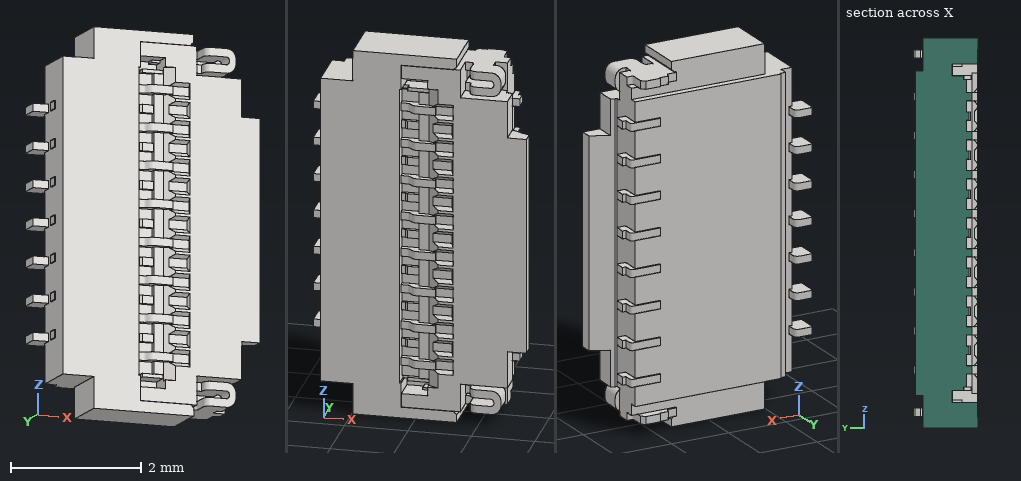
import cadquery as cq
import math


PITCH = 0.6
LEFT_COUNT = 7
RIGHT_COUNT = LEFT_COUNT + 1
CONTACT_WIDTH = 0.13

HEIGHT = 1.0
LENGTH = 6.0
LEFT_X = 0.256
BACK_X = 3.1
CORE_HALF = 2.5
SHELF_Y = 0.795
RIDGE_X = 0.45
RIDGE_Y = 0.94
RIDGE_TOP_X = 0.545
TOP_Y = 0.972

EAR_X0 = 0.765
EAR_X1 = 2.405
EAR_Y = 0.855
EAR_CHAMFER = 0.05

INSERT_X = 1.53
INSERT_HALF = 2.82
INSERT_Y = 0.012
SHOULDER_X = 3.2
SHOULDER_HALF = 2.363
WING_X = 3.5
WING_HALF = 1.765
WING_ROOT_X = 3.135
WING_ROOT_Y = 0.385
WING_TIP_Y = 0.215

SLOT_X0 = 1.505
CHANNEL_X1 = 1.785
SLOT_X1 = 1.943
CHANNEL_Y = 0.18
LEDGE_Y = 0.1
LEAD_IN_X = 2.11
LEAD_IN_HALF = 2.46
END_POCKET_HALF = 2.6
END_POCKET_Y = 0.4
END_STEP_HALF = 2.42
END_STEP_X = 1.605
END_STEP_Y = 0.115
END_STEP_DEEP_Y = 0.22
END_LEDGE_X = 1.81
END_LEDGE_Y = 0.25
END_LEDGE_HALF = 2.565

GROOVE_X1 = 2.345
GROOVE_Y = 0.06
GROOVE_FLOOR_HALF = 0.07
GROOVE_MOUTH_HALF = 0.128
GROOVE_END_RUN = 0.03

BEAM_END_X = 2.067
BEAM_BEND_X = 1.61
BEAM_LOW_ARC_RUN = 0.045
BEAM_RAMP_RUN = 0.03
BEAM_HIGH_ARC_RUN = 0.085
TIP_X0 = 1.565
TIP_X1 = 1.605
TIP_Y = 0.12
TIP_BEVEL = 0.02
CONTACT_ROOT_Y = 0.3

LEFT_TAIL_X1 = 0.315
LEFT_TAIL_Y = 0.625
LEFT_TAIL_CORNER = 0.05
LEFT_TAIL_SHOULDER = 0.08
HEEL_X = 0.237
HEEL_Y0 = 0.325
HEEL_Y1 = 0.5

RIGHT_TAIL_X0 = 2.67
RIGHT_TAIL_X1 = 3.25
RIGHT_TAIL_Y0 = 0.663
RIGHT_TAIL_STEP_Y = 0.84
RIGHT_TAIL_TOP_X = 3.19
RIGHT_TAIL_CORNER = 0.05
FOOT_LENGTH = 0.04

CLIP_POCKET_X = 2.46
CLIP_POCKET_Y = 0.47
CLIP_OUTER_Z = INSERT_HALF
CLIP_INNER_Z = 2.43
CLIP_THICKNESS = 0.135
CLIP_BEND_INNER_X = 2.99
CLIP_FRONT_RADIUS = 0.11
CLIP_SIDE_RADIUS = 0.05
CLIP_NOTCH_RADIUS = 0.03
CLIP_OPENING_RADIUS = 0.054
CLIP_BEND_RADIUS = 0.15
CLIP_SIDE_X = 2.595
CLIP_STEP_Y = 0.365
CLIP_LEG_X = 2.505
CLIP_LEG_Y = 0.16
CLIP_ROOT_X0 = 2.33
CLIP_ROOT_X1 = 2.49
CLIP_ROOT_Y = 0.89
CLIP_TOP_X0 = 2.52
CLIP_BEND_Y = 0.33
CLIP_SLIT_X = 2.91
CLIP_NOTCH_X = 2.99
CLIP_NOTCH_Y = 0.705
CLIP_TOP_CHAMFER = 0.06

OVERLAP = 0.1


def box(x0, x1, y0, y1, z0, z1):
    return cq.Workplane("XY").box(x1 - x0, y1 - y0, z1 - z0, centered=False).translate((x0, y0, z0))


def slab(outline, z0, z1):
    """Closed XY polygon raised from z0 to z1."""
    return cq.Workplane("XY").workplane(offset=z0).polyline(outline).close().extrude(z1 - z0)


def row(count):
    """Z positions of a centred row of contacts."""
    return [(i - (count - 1) / 2) * PITCH for i in range(count)]


def both_ends(shape):
    return shape.union(shape.mirror("XY"))


def housing():
    core = slab(
        [
            (LEFT_X, 0),
            (BACK_X, 0),
            (BACK_X, TOP_Y),
            (RIDGE_TOP_X, TOP_Y),
            (RIDGE_TOP_X, RIDGE_Y),
            (RIDGE_X, RIDGE_Y),
            (RIDGE_X, SHELF_Y),
            (LEFT_X, SHELF_Y),
        ],
        -CORE_HALF,
        CORE_HALF,
    )
    clip_base_half = CLIP_OUTER_Z - CLIP_THICKNESS
    base = box(EAR_X0, BACK_X, 0, EAR_Y, -clip_base_half, clip_base_half)
    neck = box(EAR_X0, CLIP_POCKET_X, 0, EAR_Y, -INSERT_HALF, INSERT_HALF)
    ears = box(EAR_X0, EAR_X1, 0, EAR_Y, -LENGTH / 2, LENGTH / 2)
    corner = (
        cq.Workplane("XZ")
        .polyline(
            [
                (EAR_X1, INSERT_HALF + EAR_CHAMFER),
                (EAR_X1, INSERT_HALF),
                (EAR_X1 - EAR_CHAMFER, INSERT_HALF),
            ]
        )
        .close()
        .extrude(-EAR_Y)
    )
    ears = ears.cut(both_ends(corner))
    return core.union(base).union(ears).union(neck)


def wing():
    outline = [
        (BACK_X - OVERLAP, 0),
        (WING_X, 0),
        (WING_X, WING_TIP_Y),
        (WING_ROOT_X, WING_ROOT_Y),
        (BACK_X - OVERLAP, WING_ROOT_Y),
    ]
    shoulder = slab(outline, -SHOULDER_HALF, SHOULDER_HALF).intersect(
        box(0, SHOULDER_X, 0, HEIGHT, -SHOULDER_HALF, SHOULDER_HALF)
    )
    return slab(outline, -WING_HALF, WING_HALF).union(shoulder)


def insert_recess():
    return box(INSERT_X, WING_X, 0, INSERT_Y, -INSERT_HALF, INSERT_HALF)


def clip_pockets():
    pocket = box(CLIP_POCKET_X, BACK_X, 0, CLIP_POCKET_Y, SHOULDER_HALF, INSERT_HALF)
    return both_ends(pocket)


def slot():
    channel = box(SLOT_X0, CHANNEL_X1, 0, CHANNEL_Y, -SHOULDER_HALF, SHOULDER_HALF)
    ledge = box(SLOT_X0, SLOT_X1, 0, LEDGE_Y, -SHOULDER_HALF, SHOULDER_HALF)
    lead_in = slab(
        [(SLOT_X1, 0), (LEAD_IN_X, 0), (LEAD_IN_X, INSERT_Y), (SLOT_X1, LEDGE_Y)],
        -LEAD_IN_HALF,
        LEAD_IN_HALF,
    )
    step = box(SLOT_X0, SLOT_X1, 0, END_STEP_Y, SHOULDER_HALF, END_STEP_HALF)
    step = step.union(box(SLOT_X0, END_STEP_X, 0, END_STEP_DEEP_Y, SHOULDER_HALF, END_STEP_HALF))
    pocket = box(INSERT_X, SLOT_X1, 0, END_POCKET_Y, END_STEP_HALF, END_POCKET_HALF)
    pocket = pocket.cut(
        box(END_LEDGE_X, SLOT_X1, END_LEDGE_Y, END_POCKET_Y, END_LEDGE_HALF, END_POCKET_HALF)
    )
    return channel.union(ledge).union(lead_in).union(both_ends(step.union(pocket)))


def groove(z, end_run):
    """Trapezoidal groove; its closed end slopes in over end_run, or is square if that is 0."""
    section = (
        cq.Workplane("YZ", origin=(SLOT_X1, 0, z))
        .polyline(
            [
                (INSERT_Y, -GROOVE_MOUTH_HALF),
                (INSERT_Y, GROOVE_MOUTH_HALF),
                (GROOVE_Y, GROOVE_FLOOR_HALF),
                (GROOVE_Y, -GROOVE_FLOOR_HALF),
            ]
        )
        .close()
        .extrude(GROOVE_X1 - SLOT_X1)
    )
    if end_run == 0:
        return section
    end_wedge = slab(
        [(GROOVE_X1, INSERT_Y), (GROOVE_X1, GROOVE_Y), (GROOVE_X1 - end_run, GROOVE_Y)],
        z - GROOVE_MOUTH_HALF,
        z + GROOVE_MOUTH_HALF,
    )
    return section.cut(end_wedge)


def beam(z):
    """Right-hand contact crossing the slot; an S-bend with a 45 degree ramp brings it forward."""
    arc_rise_per_run = math.tan(math.pi / 8)
    ramp_x0 = BEAM_BEND_X + BEAM_LOW_ARC_RUN
    ramp_x1 = ramp_x0 + BEAM_RAMP_RUN
    high_x = ramp_x1 + BEAM_HIGH_ARC_RUN
    ramp_y1 = INSERT_Y + BEAM_HIGH_ARC_RUN * arc_rise_per_run
    ramp_y0 = ramp_y1 + BEAM_RAMP_RUN
    low_y = ramp_y0 + BEAM_LOW_ARC_RUN * arc_rise_per_run
    return (
        cq.Workplane("XY")
        .workplane(offset=z - CONTACT_WIDTH / 2)
        .moveTo(SLOT_X0, low_y)
        .lineTo(BEAM_BEND_X, low_y)
        .tangentArcPoint((ramp_x0, ramp_y0), relative=False)
        .lineTo(ramp_x1, ramp_y1)
        .tangentArcPoint((high_x, INSERT_Y), relative=False)
        .lineTo(BEAM_END_X, INSERT_Y)
        .lineTo(BEAM_END_X, CONTACT_ROOT_Y)
        .lineTo(SLOT_X0, CONTACT_ROOT_Y)
        .close()
        .extrude(CONTACT_WIDTH)
    )


def left_contact(z):
    z0 = z - CONTACT_WIDTH / 2
    z1 = z + CONTACT_WIDTH / 2
    tail = box(0, LEFT_TAIL_X1, LEFT_TAIL_Y, HEIGHT, z0, z1)
    tail = tail.edges("<X and >Y").fillet(LEFT_TAIL_CORNER)
    tail = tail.edges(">X and >Y").fillet(LEFT_TAIL_SHOULDER)
    heel = box(HEEL_X, LEFT_X + OVERLAP, HEEL_Y0, HEEL_Y1, z0, z1)
    tip = slab(
        [
            (SLOT_X0, TIP_Y + TIP_BEVEL),
            (TIP_X0, TIP_Y + TIP_BEVEL),
            (TIP_X1, TIP_Y),
            (CHANNEL_X1, TIP_Y),
            (CHANNEL_X1, CONTACT_ROOT_Y),
            (SLOT_X0, CONTACT_ROOT_Y),
        ],
        z0,
        z1,
    )
    return tail.union(heel).union(tip)


def right_contact(z):
    z0 = z - CONTACT_WIDTH / 2
    z1 = z + CONTACT_WIDTH / 2
    upper = box(RIGHT_TAIL_X0, RIGHT_TAIL_TOP_X, RIGHT_TAIL_Y0, HEIGHT, z0, z1)
    upper = upper.edges(">X and >Y").fillet(RIGHT_TAIL_CORNER)
    lower = box(RIGHT_TAIL_X0, RIGHT_TAIL_X1, RIGHT_TAIL_Y0, RIGHT_TAIL_STEP_Y, z0, z1)
    foot = slab(
        [
            (RIDGE_X - FOOT_LENGTH, SHELF_Y),
            (RIDGE_X, SHELF_Y),
            (RIDGE_X, SHELF_Y + FOOT_LENGTH),
        ],
        z0,
        z1,
    )
    return upper.union(lower).union(foot).union(beam(z))


def round_corner(leg, corner, radius):
    """Round the Z edge of a clip leg that stands at the XY point corner."""
    middle_z = leg.val().Center().z
    return leg.edges(cq.selectors.NearestToPointSelector((*corner, middle_z))).fillet(radius)


def outer_clip_leg():
    front_corner = (CLIP_SIDE_X, 0)
    side_corner = (CLIP_SIDE_X, CLIP_STEP_Y)
    notch_corner = (CLIP_NOTCH_X, CLIP_NOTCH_Y)
    outline = [
        front_corner,
        (CLIP_SLIT_X, 0),
        (CLIP_SLIT_X, CLIP_POCKET_Y),
        (BACK_X, CLIP_POCKET_Y),
        (BACK_X, CLIP_NOTCH_Y),
        notch_corner,
        (CLIP_NOTCH_X, HEIGHT - CLIP_TOP_CHAMFER),
        (CLIP_NOTCH_X - CLIP_TOP_CHAMFER, HEIGHT),
        (RIGHT_TAIL_X0, HEIGHT),
        (RIGHT_TAIL_X0, TOP_Y),
        (CLIP_TOP_X0, TOP_Y),
        (CLIP_ROOT_X1, CLIP_ROOT_Y),
        (CLIP_ROOT_X0, CLIP_ROOT_Y),
        (CLIP_ROOT_X0, CLIP_STEP_Y),
        side_corner,
    ]
    leg = slab(outline, CLIP_OUTER_Z - CLIP_THICKNESS, CLIP_OUTER_Z)
    leg = round_corner(leg, front_corner, CLIP_FRONT_RADIUS)
    leg = round_corner(leg, side_corner, CLIP_SIDE_RADIUS)
    return round_corner(leg, notch_corner, CLIP_NOTCH_RADIUS)


def inner_clip_leg():
    front_corner = (CLIP_SIDE_X, 0)
    outline = [
        front_corner,
        (CLIP_SLIT_X, 0),
        (CLIP_SLIT_X, CLIP_POCKET_Y),
        (CLIP_LEG_X, CLIP_POCKET_Y),
        (CLIP_LEG_X, CLIP_LEG_Y),
        (CLIP_SIDE_X, CLIP_LEG_Y),
    ]
    leg = slab(outline, CLIP_INNER_Z, CLIP_INNER_Z + CLIP_THICKNESS)
    return round_corner(leg, front_corner, CLIP_FRONT_RADIUS)


def clip():
    """Sheet folded into a U around the Y direction; its outer leg runs up to the mounting side."""
    bend = box(CLIP_SLIT_X, BACK_X, 0, CLIP_BEND_Y, CLIP_INNER_Z, CLIP_OUTER_Z)
    bend = bend.edges("|Y and >X").fillet(CLIP_BEND_RADIUS)
    opening = box(
        CLIP_SLIT_X,
        CLIP_BEND_INNER_X,
        0,
        CLIP_BEND_Y,
        CLIP_INNER_Z + CLIP_THICKNESS,
        CLIP_OUTER_Z - CLIP_THICKNESS,
    )
    opening = opening.edges("|Y and >X").fillet(CLIP_OPENING_RADIUS)
    return outer_clip_leg().union(inner_clip_leg()).union(bend.cut(opening))


result = housing().union(wing()).cut(insert_recess()).cut(clip_pockets()).cut(slot())
for z in row(LEFT_COUNT):
    result = result.cut(groove(z, GROOVE_END_RUN)).union(left_contact(z))
for z in row(RIGHT_COUNT):
    result = result.cut(groove(z, 0)).union(right_contact(z))
result = result.union(both_ends(clip()))